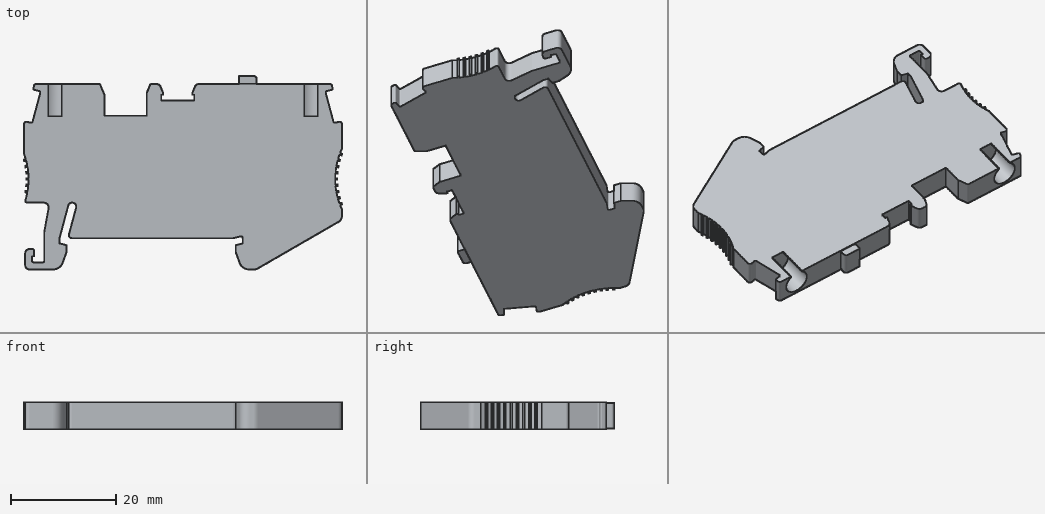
import cadquery as cq
import math

LENGTH = 60.4
THICKNESS = 5.2
TOP = 35.25

SNAP_ANGLE = math.radians(15)
SNAP_SLOPE = math.tan(SNAP_ANGLE)
MOUTH_SLOPE = math.tan(math.radians(22.5))
FOOT_SLOPE = math.tan(math.radians(20))
RAMP_SLOPE = math.tan(math.radians(30))

LIP_INSET = 1.7
LIP_Y = 34.2
NECK_INSET = 3.15
NECK_TOP_Y = LIP_Y - (NECK_INSET - LIP_INSET) * SNAP_SLOPE
SHOULDER_Y = 28.25
NECK_HEIGHT = (NECK_TOP_Y - SHOULDER_Y + NECK_INSET * SNAP_SLOPE) / (1 + SNAP_SLOPE**2)
NECK_BOTTOM_Y = NECK_TOP_Y - NECK_HEIGHT
NECK_BOTTOM_INSET = NECK_INSET - NECK_HEIGHT * SNAP_SLOPE
LIP_TOP_INSET = LIP_INSET + (TOP - LIP_Y) * SNAP_SLOPE
NECK_ROUND = 0.25
LIP_TOP_ROUND = 0.45
LIP_TIP_ROUND = 0.25
SHOULDER_ROUND = 0.5
EDGE_ROUND = 0.3

NOTCH_LEFT = 15.3
NOTCH_RIGHT = 23.3
NOTCH_FLOOR = 29.25
NOTCH_MOUTH_LEFT_Y = 33.2
NOTCH_MOUTH_RIGHT_Y = 33.55

RECESS_CENTRE = 29.2
RECESS_HALF = 3.1
RECESS_FLOOR = 32.15
BARB_REACH = 0.35
BARB_BOTTOM = 33.2
BARB_TIP = 33.55
BARB_ROUND = 0.8

BODY_BOTTOM = 5.95
FOOT_LEFT = 40.2
FOOT_WALL_Y = 3.3
FOOT_STEP_Y = 4.65
FOOT_ROUND = 2.0
FOOT_TOE = FOOT_LEFT + FOOT_WALL_Y * FOOT_SLOPE
RAIL_DEPTH = 1.3
RAIL_WALL = FOOT_LEFT + RAIL_DEPTH
RAIL_CEILING_START = 39.8
RAMP_START = 44.05
RAMP_ROUND = 1.5
RAMP_END_ROUND = 1.4

SPRING_RIGHT = 8.1
SPRING_TOE = SPRING_RIGHT - FOOT_WALL_Y * FOOT_SLOPE
SPRING_WALL = SPRING_RIGHT - RAIL_DEPTH
SLOT_START_Y = 6.05
SLOT_WIDTH = 1.5
SLOT_TOP = 12.7
SLOT_END_FLAT = 0.03
SLOT_MOUTH_ROUND = 0.6
SPRING_LEFT = 3.85
SPRING_BEND_Y = 7.2
LEFT_STEP_Y = 12.7
LEFT_STEP_ROUND = 0.4
SPRING_ROOT = 4.85
SPRING_ROOT_ROUND = 0.9

HOOK_LEFT = 0.2
HOOK_FLOOR = 1.4
HOOK_INNER = 1.55
HOOK_STEP_Y = 2.5
HOOK_TIP_RIGHT = 1.95
HOOK_TIP_Y = 3.95
HOOK_TIP_INNER_ROUND = 0.4
HOOK_TIP_OUTER_ROUND = 0.9
HOOK_HEEL_ROUND = 0.9

GRIP_RADIUS = 13.6
GRIP_CENTRE_Y = 17.2
LEFT_GRIP_DEPTH = 0.86
RIGHT_GRIP_DEPTH = 1.28
RIB_PITCH = 1.22
RIB_WIDTH = 0.36
RIB_HEIGHT = 0.4
LEFT_RIBS = range(-2, 4)
RIGHT_RIBS = range(-4, 5)

CHANNEL_INSET = 5.9
CHANNEL_RADIUS = 2.4
CHANNEL_SLIT = 2.55
CHANNEL_LIP = 0.2
CHANNEL_END_Y = 29.1

TAB_LEFT = 40.8
TAB_RIGHT = 44.2
TAB_TOP = 36.8
TAB_INSET_Z = 0.15
TAB_ROUND = 0.6
TAB_SMALL_ROUND = 0.15
TAB_OVERLAP = 1.0


def rounded_outline(corners):
    """Closed outline through (x, y, radius) corners, each rounded by a tangent arc."""
    stretches = []
    for index, (x, y, radius) in enumerate(corners):
        before = corners[index - 1]
        after = corners[(index + 1) % len(corners)]
        corner = cq.Vector(x, y)
        back = (cq.Vector(before[0], before[1]) - corner).normalized()
        ahead = (cq.Vector(after[0], after[1]) - corner).normalized()
        half_angle = back.getAngle(ahead) / 2
        setback = radius / math.tan(half_angle)
        to_middle = radius / math.sin(half_angle) - radius
        middle = corner + (back + ahead).normalized() * to_middle
        stretches.append((corner + back * setback, middle, corner + ahead * setback, radius))

    outline = cq.Workplane("XY").moveTo(*stretches[0][2].toTuple()[:2])
    for start, middle, end, radius in stretches[1:] + stretches[:1]:
        outline = outline.lineTo(*start.toTuple()[:2])
        if radius > 0:
            outline = outline.threePointArc(middle.toTuple()[:2], end.toTuple()[:2])
    return outline.close()


def marker_lip():
    """Corners of the left marker lip, from its top down to the shoulder, as insets from the side."""
    return [
        (LIP_TOP_INSET, TOP, LIP_TOP_ROUND),
        (LIP_INSET, LIP_Y, LIP_TIP_ROUND),
        (NECK_INSET, NECK_TOP_Y, NECK_ROUND),
        (NECK_BOTTOM_INSET, NECK_BOTTOM_Y, NECK_ROUND),
        (0, SHOULDER_Y, SHOULDER_ROUND),
    ]


def left_side():
    """Corners from the left shoulder down to the release hook and the sprung foot."""
    return [
        (0, LEFT_STEP_Y, 0),
        (SPRING_ROOT, LEFT_STEP_Y, SPRING_ROOT_ROUND),
        (SPRING_LEFT, SPRING_BEND_Y, 0),
        (SPRING_LEFT, HOOK_FLOOR, NECK_ROUND),
        (HOOK_INNER, HOOK_FLOOR, NECK_ROUND),
        (HOOK_INNER, HOOK_STEP_Y, 0),
        (HOOK_TIP_RIGHT, HOOK_STEP_Y, 0),
        (HOOK_TIP_RIGHT, HOOK_TIP_Y, HOOK_TIP_INNER_ROUND),
        (HOOK_LEFT, HOOK_TIP_Y, HOOK_TIP_OUTER_ROUND),
        (HOOK_LEFT, 0, HOOK_HEEL_ROUND),
        (SPRING_TOE, 0, FOOT_ROUND),
        (SPRING_RIGHT, FOOT_WALL_Y, 0),
        (SPRING_RIGHT, FOOT_STEP_Y, 0),
        (SPRING_WALL, FOOT_STEP_Y + RAIL_DEPTH * SNAP_SLOPE, 0),
    ]


def spring_slot():
    """Corners of the slanted slot, up its left wall, round its end and down its right wall."""
    end_radius = SLOT_WIDTH / 2
    end_centre_y = SLOT_TOP - end_radius
    along = cq.Vector(math.sin(SNAP_ANGLE), math.cos(SNAP_ANGLE))
    across = cq.Vector(math.cos(SNAP_ANGLE), -math.sin(SNAP_ANGLE))
    wall_foot = cq.Vector(SPRING_WALL, SLOT_START_Y)
    axis_foot = wall_foot + across * end_radius
    end_centre = axis_foot + along * ((end_centre_y - axis_foot.y) / along.y)
    end_middle = end_centre + along * end_radius
    left_corner = end_middle - across * end_radius
    right_corner = end_middle + across * end_radius
    mouth_x = right_corner.x - (right_corner.y - BODY_BOTTOM) * SNAP_SLOPE
    end_round = end_radius - SLOT_END_FLAT / 2
    return [
        (SPRING_WALL, SLOT_START_Y, 0),
        (left_corner.x, left_corner.y, end_round),
        (right_corner.x, right_corner.y, end_round),
        (mouth_x, BODY_BOTTOM, SLOT_MOUTH_ROUND),
    ]


def fixed_foot():
    """Corners of the rail recess, the fixed foot and the ramp up to the right side."""
    ceiling_rise = (RAIL_WALL - RAIL_CEILING_START) * SNAP_SLOPE
    return [
        (RAIL_CEILING_START, BODY_BOTTOM, 0),
        (RAIL_WALL, BODY_BOTTOM + ceiling_rise, EDGE_ROUND),
        (RAIL_WALL, FOOT_STEP_Y + RAIL_DEPTH * SNAP_SLOPE, 0),
        (FOOT_LEFT, FOOT_STEP_Y, 0),
        (FOOT_LEFT, FOOT_WALL_Y, 0),
        (FOOT_TOE, 0, FOOT_ROUND),
        (RAMP_START, 0, RAMP_ROUND),
        (LENGTH, (LENGTH - RAMP_START) * RAMP_SLOPE, RAMP_END_ROUND),
    ]


def snap_recess_side(direction):
    """Corners of one barbed side of the snap recess, from the top edge down to its floor."""
    wall = RECESS_CENTRE + direction * RECESS_HALF
    tip = wall - direction * BARB_REACH
    return [
        (tip + direction * (TOP - BARB_TIP) * MOUTH_SLOPE, TOP, BARB_ROUND),
        (tip, BARB_TIP, 0),
        (tip, BARB_BOTTOM, 0),
        (wall, BARB_BOTTOM, 0),
        (wall, RECESS_FLOOR, 0),
    ]


def top_notches():
    """Corners of the top edge from right to left: the snap recess, then the wide notch."""
    mouth_right = NOTCH_RIGHT + (TOP - NOTCH_MOUTH_RIGHT_Y) * MOUTH_SLOPE
    mouth_left = NOTCH_LEFT - (TOP - NOTCH_MOUTH_LEFT_Y) * MOUTH_SLOPE
    wide_notch = [
        (mouth_right, TOP, EDGE_ROUND),
        (NOTCH_RIGHT, NOTCH_MOUTH_RIGHT_Y, 0),
        (NOTCH_RIGHT, NOTCH_FLOOR, 0),
        (NOTCH_LEFT, NOTCH_FLOOR, 0),
        (NOTCH_LEFT, NOTCH_MOUTH_LEFT_Y, 0),
        (mouth_left, TOP, EDGE_ROUND),
    ]
    return snap_recess_side(1) + snap_recess_side(-1)[::-1] + wide_notch


def housing():
    """The flat housing, its outline running counter-clockwise from the left marker lip."""
    right_lip = [(LENGTH - inset, y, radius) for inset, y, radius in marker_lip()[::-1]]
    corners = marker_lip() + left_side() + spring_slot() + fixed_foot() + right_lip + top_notches()
    return rounded_outline(corners).extrude(THICKNESS)


def grip_cutter(deepest_x, outward, ribs):
    """Cylinder hollowing one side, with gaps that leave the radial grip ribs standing."""
    centre_x = deepest_x + outward * GRIP_RADIUS
    cutter = cq.Workplane("XY").center(centre_x, GRIP_CENTRE_Y).circle(GRIP_RADIUS).extrude(THICKNESS)
    for rib in ribs:
        turn = -outward * math.degrees(rib * RIB_PITCH / GRIP_RADIUS)
        gap = (
            cq.Workplane("XY")
            .center(-outward * (GRIP_RADIUS - RIB_HEIGHT / 2), 0)
            .rect(RIB_HEIGHT, RIB_WIDTH)
            .extrude(THICKNESS)
            .rotate((0, 0, 0), (0, 0, 1), turn)
            .translate((centre_x, GRIP_CENTRE_Y, 0))
        )
        cutter = cutter.cut(gap)
    return cutter


def channel_cutter(centre_x):
    """Round channel along Y, joined to the upper face by a straight-sided slit."""
    channel_length = TOP - CHANNEL_END_Y
    half_slit = CHANNEL_SLIT / 2
    axis_z = THICKNESS - CHANNEL_LIP - math.sqrt(CHANNEL_RADIUS**2 - half_slit**2)
    end_plane = cq.Workplane("XZ", origin=(centre_x, TOP, axis_z))
    bore = end_plane.circle(CHANNEL_RADIUS).extrude(channel_length)
    slit_height = THICKNESS - axis_z
    slit = end_plane.center(0, slit_height / 2).rect(CHANNEL_SLIT, slit_height).extrude(channel_length)
    return bore.union(slit)


def tab():
    """Tab on the top edge, slightly thinner than the housing."""
    root_y = TOP - TAB_OVERLAP
    corners = [
        (TAB_LEFT, root_y, 0),
        (TAB_RIGHT, root_y, 0),
        (TAB_RIGHT, TAB_TOP, TAB_ROUND),
        (TAB_LEFT, TAB_TOP, TAB_SMALL_ROUND),
    ]
    return rounded_outline(corners).extrude(THICKNESS - 2 * TAB_INSET_Z).translate((0, 0, TAB_INSET_Z))


result = (
    housing()
    .cut(grip_cutter(LEFT_GRIP_DEPTH, -1, LEFT_RIBS))
    .edges(cq.selectors.NearestToPointSelector((0, LEFT_STEP_Y, THICKNESS / 2)))
    .fillet(LEFT_STEP_ROUND)
    .cut(grip_cutter(LENGTH - RIGHT_GRIP_DEPTH, 1, RIGHT_RIBS))
    .cut(channel_cutter(CHANNEL_INSET))
    .cut(channel_cutter(LENGTH - CHANNEL_INSET))
    .union(tab())
)